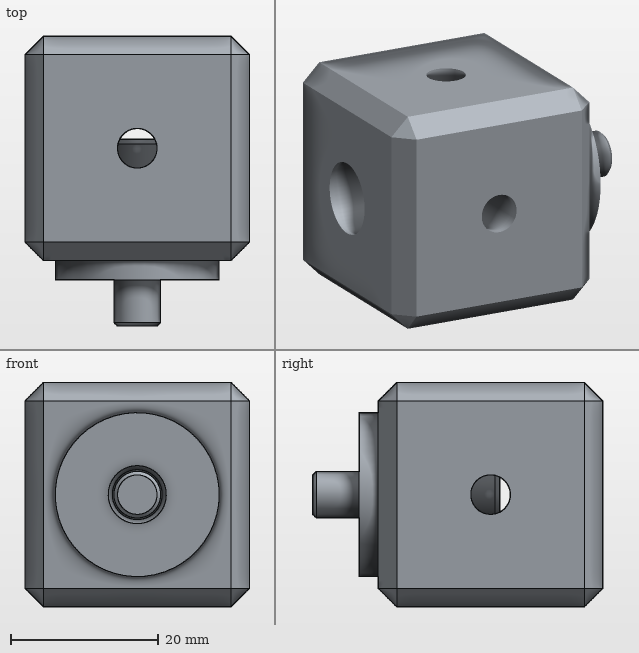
import cadquery as cq

cube_size = 30.47
cube_chamfer = 2.5
cross_hole_diameter = 5.35

pad_diameter = 22.25
pad_thickness = 2.6

shank_bore_diameter = 6.77
head_bore_diameter = 10.05
mouth_chamfer = 0.55

overall_length = 39.37
shank_diameter = 6.35
tip_diameter = 5.35
shank_chamfer = (shank_diameter - tip_diameter) / 2
head_diameter = 9.53
head_length = shank_diameter
head_chamfer = 0.65
head_end_y = 1.25

cube_front_y = -cube_size / 2
pad_front_y = cube_front_y - pad_thickness
screw_tip_y = cube_size / 2 - overall_length
head_seat_y = head_end_y - head_length


def cylinder_along_y(diameter, start_y, end_y):
    """Cylinder centred on the Y axis, running from start_y to end_y."""
    start_plane = cq.Workplane("XZ", origin=(0, start_y, 0))
    return start_plane.circle(diameter / 2).extrude(start_y - end_y)


def make_body():
    """Cube with every edge chamfered and a round pad on the front."""
    cube = cq.Workplane("XY").box(cube_size, cube_size, cube_size)
    cube = cube.edges().chamfer(cube_chamfer)
    pad = cylinder_along_y(pad_diameter, pad_front_y, cube_front_y)
    return cube.union(pad)


def cut_cross_holes(body):
    """Drill through the cube along X and along Z."""
    for plane in ("YZ", "XY"):
        hole = cq.Workplane(plane).circle(cross_hole_diameter / 2).extrude(cube_size / 2, both=True)
        body = body.cut(hole)
    return body


def make_screw_bore():
    """Clearance bore with a chamfered mouth and a wider bore for the head."""
    shank_bore = cylinder_along_y(shank_bore_diameter, pad_front_y, head_seat_y)
    head_bore = cylinder_along_y(head_bore_diameter, head_seat_y, cube_size / 2)
    mouth_radius = shank_bore_diameter / 2 + mouth_chamfer
    mouth = cq.Workplane("XY").add(
        cq.Solid.makeCone(
            mouth_radius,
            shank_bore_diameter / 2,
            mouth_chamfer,
            pnt=cq.Vector(0, pad_front_y, 0),
            dir=cq.Vector(0, 1, 0),
        )
    )
    return shank_bore.union(head_bore).union(mouth)


def make_screw():
    """Chamfered shank and head; the head rests on the step in the bore."""
    shank = cylinder_along_y(shank_diameter, screw_tip_y, head_seat_y)
    shank = shank.faces("<Y").chamfer(shank_chamfer)
    head = cylinder_along_y(head_diameter, head_seat_y, head_end_y)
    head = head.faces(">Y").chamfer(head_chamfer)
    return shank.union(head)


body = cut_cross_holes(make_body()).cut(make_screw_bore())
result = body.union(make_screw())